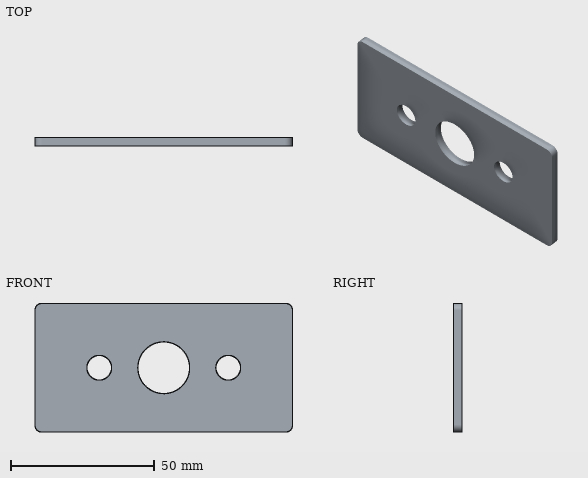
import cadquery as cq

length = 90.0
height = length / 2
thickness = 3.0
corner_radius = 2.5

center_hole_diameter = 18.0
side_hole_diameter = 8.55
side_hole_spacing = length / 2

plate = cq.Workplane("XY").box(length, thickness, height)
plate = plate.edges("|Y").fillet(corner_radius)

plate = plate.faces("<Y").workplane(origin=(0, 0, 0)).hole(center_hole_diameter)

side_hole_points = [(-side_hole_spacing / 2, 0), (side_hole_spacing / 2, 0)]
result = (
    plate.faces("<Y")
    .workplane(origin=(0, 0, 0))
    .pushPoints(side_hole_points)
    .hole(side_hole_diameter)
)